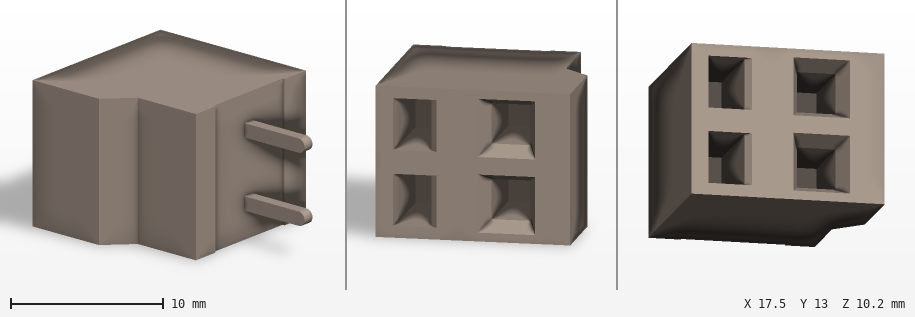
import cadquery as cq

HOUSING_LENGTH = 12.5
HOUSING_WIDTH = 13.0
HOUSING_HEIGHT = 10.17
POLE_COUNT = 2
POLE_PITCH = HOUSING_HEIGHT / POLE_COUNT

STEP_DEPTH = 1.8
STEP_START = 5.7

RECESS_DEPTH = 0.18
RECESS_START = 3.82
RECESS_WIDTH = 7.0

MOUTH_WIDTH = 3.8
MOUTH_HEIGHT = 3.9
FUNNEL_TAPER = 0.6
FUNNEL_DEPTH = 1.54
FUNNEL_Y = 4.25
SOCKET_DEPTH = 7.0
SOCKET_LEAN = 0.04

SLOT_WIDTH = 2.9
SLOT_HEIGHT = 3.5
SLOT_OUTER_TAPER = 0.09
SLOT_OUTER_DEPTH = 1.08
SLOT_INNER_TAPER = 0.4
SLOT_INNER_DEPTH = 0.45
SLOT_DEPTH = 7.0
SLOT_Y = 10.4

PIN_WIDTH = 0.8
PIN_HEIGHT = 1.0
PIN_TIP_X = 17.5
PIN_Y = 7.32

RECESS_FLOOR_X = HOUSING_LENGTH - RECESS_DEPTH
POLE_HEIGHTS = [(pole + 0.5) * POLE_PITCH for pole in range(POLE_COUNT)]


def make_block():
    """Stepped outline extruded to the full height."""
    outline = [
        (0, 0),
        (STEP_START, 0),
        (STEP_START + STEP_DEPTH, STEP_DEPTH),
        (HOUSING_LENGTH, STEP_DEPTH),
        (HOUSING_LENGTH, RECESS_START),
        (RECESS_FLOOR_X, RECESS_START),
        (RECESS_FLOOR_X, RECESS_START + RECESS_WIDTH),
        (HOUSING_LENGTH, RECESS_START + RECESS_WIDTH),
        (HOUSING_LENGTH, HOUSING_WIDTH),
        (0, HOUSING_WIDTH),
    ]
    return cq.Workplane("XY").polyline(outline).close().extrude(HOUSING_HEIGHT)


def extrude_across_pole(profile, height, pole_z):
    """Extrude an XY profile along Z, centred on the height of one pole."""
    base_plane = cq.Workplane("XY", origin=(0, 0, pole_z - height / 2))
    return base_plane.polyline(profile).close().extrude(height)


def make_funnel(pole_z):
    """Cutter for the wire entry of one pole."""
    socket_width = MOUTH_WIDTH - 2 * FUNNEL_TAPER
    socket_height = MOUTH_HEIGHT - 2 * FUNNEL_TAPER
    mouth_plane = cq.Workplane("YZ").center(FUNNEL_Y, pole_z)
    funnel = (
        mouth_plane.rect(MOUTH_WIDTH, MOUTH_HEIGHT)
        .workplane(offset=FUNNEL_DEPTH)
        .rect(socket_width, socket_height)
        .loft(ruled=True)
    )
    bottom_edge = FUNNEL_Y - socket_width / 2
    top_edge = FUNNEL_Y + socket_width / 2
    socket_profile = [
        (FUNNEL_DEPTH, bottom_edge),
        (SOCKET_DEPTH, bottom_edge),
        (SOCKET_DEPTH, top_edge - SOCKET_LEAN),
        (FUNNEL_DEPTH, top_edge),
    ]
    socket = extrude_across_pole(socket_profile, socket_height, pole_z)
    return funnel.union(socket)


def make_slot(pole_z):
    """Cutter for the release slot of one pole."""
    bottom_edge = SLOT_Y - SLOT_WIDTH / 2
    top_edge = SLOT_Y + SLOT_WIDTH / 2
    profile = [
        (0, bottom_edge),
        (SLOT_INNER_DEPTH, bottom_edge + SLOT_INNER_TAPER),
        (SLOT_DEPTH, bottom_edge + SLOT_INNER_TAPER),
        (SLOT_DEPTH, top_edge - SLOT_OUTER_TAPER),
        (SLOT_OUTER_DEPTH, top_edge - SLOT_OUTER_TAPER),
        (0, top_edge),
    ]
    return extrude_across_pole(profile, SLOT_HEIGHT, pole_z)


def make_housing():
    housing = make_block()
    for pole_z in POLE_HEIGHTS:
        housing = housing.cut(make_funnel(pole_z))
        housing = housing.cut(make_slot(pole_z))
    return housing


def make_pin(pole_z):
    """Flat pin standing on the recess floor."""
    tip_radius = PIN_HEIGHT / 2
    shoulder_x = PIN_TIP_X - tip_radius
    side_plane = cq.Workplane("XZ", origin=(0, PIN_Y + PIN_WIDTH / 2, pole_z))
    return (
        side_plane.moveTo(RECESS_FLOOR_X, -tip_radius)
        .lineTo(shoulder_x, -tip_radius)
        .threePointArc((PIN_TIP_X, 0), (shoulder_x, tip_radius))
        .lineTo(RECESS_FLOOR_X, tip_radius)
        .close()
        .extrude(PIN_WIDTH)
    )


housing = make_housing()
pins = [make_pin(pole_z) for pole_z in POLE_HEIGHTS]

result = cq.Compound.makeCompound([housing.val(), *[pin.val() for pin in pins]])